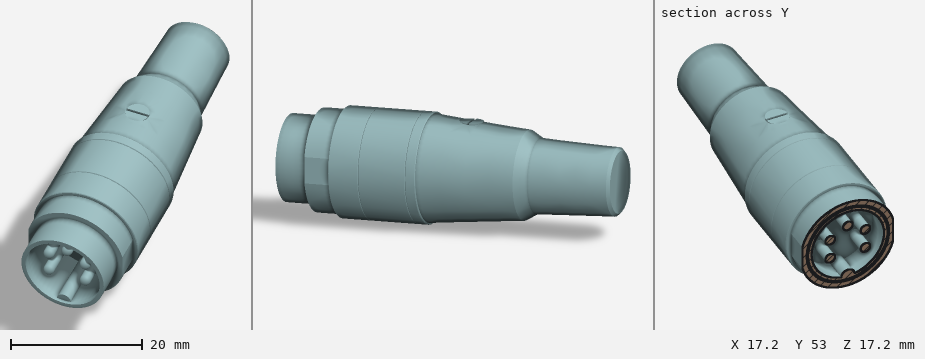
import cadquery as cq
import math

LENGTH = 53.0

SHELL_RADIUS = 6.8
BORE_RADIUS = 6.1
BORE_DEPTH = 9.0
COLLAR_START = 5.0
COLLAR_RADIUS = 8.0
COLLAR_FLAT_HALF_WIDTH = 7.75
GAP_RADIUS = 6.95
GAP_DEPTH = 0.55

RING_DIAMETER = 17.2
RING_RADIUS = RING_DIAMETER / 2
RING_EDGE = 0.1
RING_BOUNDARIES = (9.0, 13.85, 21.35, 23.0)

BODY_FRONT_RADIUS = 8.3
BODY_REAR = 38.1
BODY_REAR_RADIUS = 6.95
SLEEVE_START = 40.0
SLEEVE_START_RADIUS = 5.85
SLEEVE_END_RADIUS = 5.3
SLEEVE_CHAMFER = 0.5

PIN_RADIUS = 0.85
PIN_CIRCLE_RADIUS = 3.45
PIN_ANGLES = (30, 90, 150, 210, 330)
PIN_TIP = 0.95
KEY_RADIUS = 1.15
KEY_FRONT = 0.55

SCREW_POSITION = 29.15
SCREW_RADIUS = 1.85
SCREW_TOP = 7.8
SCREW_DEPTH = 1.6
SLOT_WIDTH = 0.4
SLOT_DEPTH = 0.4


def cylinder(radius, start, end, x=0, z=0):
    """Cylinder parallel to Y between two Y positions."""
    return cq.Workplane("XZ", origin=(x, start, z)).circle(radius).extrude(start - end)


def grip_ring(start, end):
    return cylinder(RING_RADIUS, start, end).edges().chamfer(RING_EDGE)


def tapered_body():
    """Body, shoulder and cable sleeve as one revolved profile."""
    profile = [
        (0, RING_BOUNDARIES[-1]),
        (BODY_FRONT_RADIUS, RING_BOUNDARIES[-1]),
        (BODY_REAR_RADIUS, BODY_REAR),
        (SLEEVE_START_RADIUS, SLEEVE_START),
        (SLEEVE_END_RADIUS, LENGTH - SLEEVE_CHAMFER),
        (SLEEVE_END_RADIUS - SLEEVE_CHAMFER, LENGTH),
        (0, LENGTH),
    ]
    return cq.Workplane("XY").polyline(profile).close().revolve(360, (0, 0), (0, 1))


def collar():
    """Collar with two flats and a narrow gap around the shell."""
    end = RING_BOUNDARIES[0]
    length = end - COLLAR_START
    flats = cq.Workplane("XY").box(2 * COLLAR_FLAT_HALF_WIDTH, length, 2 * COLLAR_RADIUS)
    flats = flats.translate((0, COLLAR_START + length / 2, 0))
    gap = cylinder(GAP_RADIUS, COLLAR_START, COLLAR_START + GAP_DEPTH)
    return cylinder(COLLAR_RADIUS, COLLAR_START, end).intersect(flats).cut(gap)


def pin(angle):
    """Contact pin with a hemispherical tip."""
    x = PIN_CIRCLE_RADIUS * math.cos(math.radians(angle))
    z = PIN_CIRCLE_RADIUS * math.sin(math.radians(angle))
    dome_base = PIN_TIP + PIN_RADIUS
    dome = cq.Workplane("XY").sphere(PIN_RADIUS).translate((x, dome_base, z))
    return cylinder(PIN_RADIUS, dome_base, BORE_DEPTH + PIN_RADIUS, x, z).union(dome)


def key():
    """Half-round polarising key on the bottom of the bore."""
    bar = cylinder(KEY_RADIUS, KEY_FRONT, BORE_DEPTH, z=-BORE_RADIUS)
    return bar.intersect(cylinder(SHELL_RADIUS, 0, BORE_DEPTH))


def screw_cylinder(bottom, top):
    return cq.Workplane("XY", origin=(0, SCREW_POSITION, bottom)).circle(SCREW_RADIUS).extrude(top - bottom)


def add_screw(body):
    """Flat-topped screw head set into the tapered body, with a slot along X."""
    bottom = SCREW_TOP - SCREW_DEPTH
    body = body.cut(screw_cylinder(bottom, RING_RADIUS))
    slot = cq.Workplane("XY").box(2 * SCREW_RADIUS, SLOT_WIDTH, 2 * SLOT_DEPTH)
    head = screw_cylinder(bottom, SCREW_TOP).cut(slot.translate((0, SCREW_POSITION, SCREW_TOP)))
    return body.union(head)


result = add_screw(tapered_body())
for ring_start, ring_end in zip(RING_BOUNDARIES, RING_BOUNDARIES[1:]):
    result = result.union(grip_ring(ring_start, ring_end))

result = result.union(collar()).union(cylinder(SHELL_RADIUS, 0, RING_BOUNDARIES[0]))
result = result.cut(cylinder(BORE_RADIUS, 0, BORE_DEPTH))
for pin_angle in PIN_ANGLES:
    result = result.union(pin(pin_angle))
result = result.union(key())